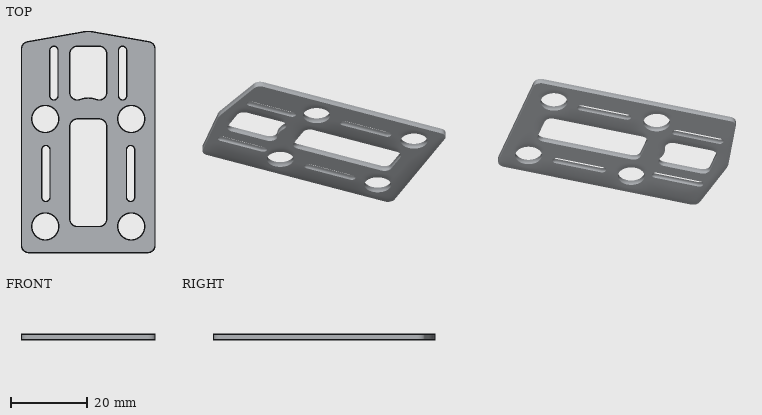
import cadquery as cq
import math

width = 35.0
length = 58.0
thickness = 1.5
corner_radius = 2.0
peak_radius = 5.0
peak_slope = math.radians(10)

hole_diameter = 7.0
hole_x = 11.25
lower_hole_y = 6.9
upper_hole_y = 35.0

window_width = 9.6
window_radius = 2.0
short_window_bottom = 40.0
short_window_top = 54.05
bump_height = 0.5

slot_width = 2.1
upper_slot_x = 9.0
upper_slot_bottom = short_window_bottom
upper_slot_top = short_window_top
lower_slot_x = 11.1
lower_slot_bottom = 13.45
lower_slot_top = 28.05


def make_plate():
    """Rectangular plate with a shallow rounded gable at its +Y end."""
    half_width = width / 2
    sharp_peak_y = length + peak_radius * (1 / math.cos(peak_slope) - 1)
    shoulder_y = sharp_peak_y - half_width * math.tan(peak_slope)
    plate = (
        cq.Workplane("XY")
        .moveTo(-half_width, 0)
        .lineTo(half_width, 0)
        .lineTo(half_width, shoulder_y)
        .lineTo(0, sharp_peak_y)
        .lineTo(-half_width, shoulder_y)
        .close()
        .extrude(thickness)
    )
    plate = plate.edges("|Z").edges(">Y").fillet(peak_radius)
    outer_corners = plate.edges("|Z and (<X or >X)")
    return outer_corners.fillet(corner_radius)


def make_slot(x, bottom, top):
    """Round-ended slot cutter running along Y."""
    return (
        cq.Workplane("XY")
        .center(x, (bottom + top) / 2)
        .slot2D(top - bottom, slot_width, 90)
        .extrude(thickness)
    )


def make_window(bottom, top):
    """Rounded rectangular cutter centred on X = 0."""
    return (
        cq.Workplane("XY")
        .center(0, (bottom + top) / 2)
        .rect(window_width, top - bottom)
        .extrude(thickness)
        .edges("|Z")
        .fillet(window_radius)
    )


def make_bumped_window():
    """Short window whose bottom edge is a bump tangent to both lower corner arcs."""
    r = window_radius
    half_width = window_width / 2
    corner_x = half_width - r
    corner_y = short_window_bottom + r
    crest_y = short_window_bottom + bump_height

    rise = corner_y - crest_y
    bump_radius = (corner_x**2 + rise**2 - r**2) / (2 * (r - rise))
    bump_centre_y = crest_y - bump_radius

    share = bump_radius / (bump_radius + r)
    tangent_x = share * corner_x
    tangent_y = bump_centre_y + share * (corner_y - bump_centre_y)

    diagonal = r * math.sqrt(0.5)
    top = short_window_top
    return (
        cq.Workplane("XY")
        .moveTo(-tangent_x, tangent_y)
        .threePointArc((0, crest_y), (tangent_x, tangent_y))
        .threePointArc((corner_x + diagonal, corner_y - diagonal), (half_width, corner_y))
        .lineTo(half_width, top - r)
        .threePointArc((corner_x + diagonal, top - r + diagonal), (corner_x, top))
        .lineTo(-corner_x, top)
        .threePointArc((-corner_x - diagonal, top - r + diagonal), (-half_width, top - r))
        .lineTo(-half_width, corner_y)
        .threePointArc((-corner_x - diagonal, corner_y - diagonal), (-tangent_x, tangent_y))
        .close()
        .extrude(thickness)
    )


def make_holes():
    """Four round hole cutters."""
    centres = [(side * hole_x, y) for side in (-1, 1) for y in (lower_hole_y, upper_hole_y)]
    return cq.Workplane("XY").pushPoints(centres).circle(hole_diameter / 2).extrude(thickness)


result = make_plate()
result = result.cut(make_holes())
result = result.cut(make_window(lower_hole_y, upper_hole_y))
result = result.cut(make_bumped_window())
for side in (-1, 1):
    result = result.cut(make_slot(side * upper_slot_x, upper_slot_bottom, upper_slot_top))
    result = result.cut(make_slot(side * lower_slot_x, lower_slot_bottom, lower_slot_top))